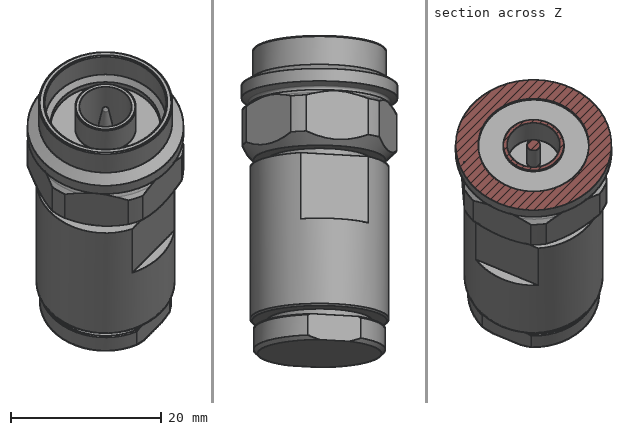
import cadquery as cq
import math

TOTAL_HEIGHT = 41.45
CLAMP_NUT_TOP = 3.5
BODY_BOTTOM = 4.48
WRENCH_FLAT_BOTTOM = 16.37
BODY_TOP = 25.4
HEX_BOTTOM = 26.45
HEX_CHAMFER_START = 33.0
HEX_CHAMFER_BREAK = 33.45
GROOVE_BOTTOM = 33.9
GROOVE_TOP = 34.45
FLANGE_BOTTOM = 34.85
FLANGE_TOP = 36.55
MOUTH_BASE = 37.47

CLAMP_NUT_RADIUS = 8.8
CLAMP_NUT_FLAT = 8.0
CLAMP_NUT_BOTTOM_CHAMFER = 0.55
CLAMP_NUT_TOP_CHAMFER = 0.15
LOWER_NECK_RADIUS = 7.0

BODY_RADIUS = 9.25
BODY_FLAT = 8.0
BODY_CHAMFER = 0.25
UPPER_NECK_RADIUS = 6.9

FLANGE_RADIUS = 10.4
HEX_APOTHEM = 9.5
HEX_BOTTOM_CHAMFER = 1.6
HEX_CHAMFER_BREAK_RADIUS = 9.82
GROOVE_BOTTOM_RADIUS = 9.35
GROOVE_ROOT_RADIUS = 9.33
GROOVE_TOP_RADIUS = 9.55
MOUTH_RADIUS = 8.9
MOUTH_RIM_CHAMFER = 0.15

SOCKET_RADIUS = 8.1
SOCKET_RIM_CHAMFER = 0.15
SOCKET_WALL_BOTTOM = 37.65
SEAT_RADIUS = 7.35
SEAT_TOP = 36.97
SOCKET_FLOOR = 36.2

SLEEVE_TOP = 40.55
SLEEVE_RADIUS = 4.05
SLEEVE_BORE_RADIUS = 3.5
SLEEVE_CHAMFER = 0.12
SLEEVE_FLOOR = 32.35
PIN_RADIUS = 0.9
PIN_TIP_RADIUS = 0.37
PIN_TAPER_BOTTOM = 36.9
PIN_TIP = 40.2
PIN_TIP_FILLET = 0.25


def revolve_profile(points):
    """Turn an (radius, z) outline about the Z axis."""
    return cq.Workplane("XZ").polyline(points).close().revolve(360, (0, 0, 0), (0, 1, 0))


def cylinder(radius, bottom, top):
    return cq.Workplane("XY").workplane(offset=bottom).circle(radius).extrude(top - bottom)


def slab_across_flats(half_width, bottom, top):
    """Block bounded by two faces square to X, wide enough in Y to hold the whole part."""
    return (
        cq.Workplane("XY")
        .workplane(offset=bottom)
        .rect(2 * half_width, 4 * FLANGE_RADIUS)
        .extrude(top - bottom)
    )


def make_clamp_nut():
    nut = cylinder(CLAMP_NUT_RADIUS, 0, CLAMP_NUT_TOP)
    nut = nut.faces("<Z").chamfer(CLAMP_NUT_BOTTOM_CHAMFER)
    nut = nut.faces(">Z").chamfer(CLAMP_NUT_TOP_CHAMFER)
    return nut.intersect(slab_across_flats(CLAMP_NUT_FLAT, 0, CLAMP_NUT_TOP))


def make_body():
    lower = cylinder(BODY_RADIUS, BODY_BOTTOM, WRENCH_FLAT_BOTTOM)
    lower = lower.faces("<Z").chamfer(BODY_CHAMFER)
    upper = cylinder(BODY_RADIUS, WRENCH_FLAT_BOTTOM, BODY_TOP)
    upper = upper.intersect(slab_across_flats(BODY_FLAT, WRENCH_FLAT_BOTTOM, BODY_TOP))
    return lower.union(upper)


def make_hexagon():
    """Hexagon with flats square to X, turned down to a chamfered round at its corners."""
    corner_diameter = 2 * HEX_APOTHEM / math.cos(math.pi / 6)
    prism = (
        cq.Workplane("XY")
        .workplane(offset=HEX_BOTTOM)
        .transformed(rotate=(0, 0, 30))
        .polygon(6, corner_diameter)
        .extrude(GROOVE_BOTTOM - HEX_BOTTOM)
    )
    turned = revolve_profile([
        (0, HEX_BOTTOM),
        (FLANGE_RADIUS - HEX_BOTTOM_CHAMFER, HEX_BOTTOM),
        (FLANGE_RADIUS, HEX_BOTTOM + HEX_BOTTOM_CHAMFER),
        (FLANGE_RADIUS, HEX_CHAMFER_START),
        (HEX_CHAMFER_BREAK_RADIUS, HEX_CHAMFER_BREAK),
        (GROOVE_BOTTOM_RADIUS, GROOVE_BOTTOM),
        (0, GROOVE_BOTTOM),
    ])
    return prism.intersect(turned)


def make_flange_and_mouth():
    """Rounded groove above the hexagon, then the flange and the cylindrical mouth."""
    groove_middle = (GROOVE_BOTTOM + GROOVE_TOP) / 2
    return (
        cq.Workplane("XZ")
        .moveTo(0, GROOVE_BOTTOM)
        .lineTo(GROOVE_BOTTOM_RADIUS, GROOVE_BOTTOM)
        .threePointArc((GROOVE_ROOT_RADIUS, groove_middle), (GROOVE_TOP_RADIUS, GROOVE_TOP))
        .lineTo(FLANGE_RADIUS, FLANGE_BOTTOM)
        .lineTo(FLANGE_RADIUS, FLANGE_TOP)
        .lineTo(MOUTH_RADIUS, MOUTH_BASE)
        .lineTo(MOUTH_RADIUS, TOTAL_HEIGHT - MOUTH_RIM_CHAMFER)
        .lineTo(MOUTH_RADIUS - MOUTH_RIM_CHAMFER, TOTAL_HEIGHT)
        .lineTo(0, TOTAL_HEIGHT)
        .close()
        .revolve(360, (0, 0, 0), (0, 1, 0))
    )


def make_socket():
    """Stepped space inside the mouth, down to its flat floor."""
    return revolve_profile([
        (0, SOCKET_FLOOR),
        (SEAT_RADIUS, SOCKET_FLOOR),
        (SEAT_RADIUS, SEAT_TOP),
        (SOCKET_RADIUS, SOCKET_WALL_BOTTOM),
        (SOCKET_RADIUS, TOTAL_HEIGHT - SOCKET_RIM_CHAMFER),
        (SOCKET_RADIUS + SOCKET_RIM_CHAMFER, TOTAL_HEIGHT),
        (0, TOTAL_HEIGHT),
    ])


def make_sleeve():
    sleeve = cylinder(SLEEVE_RADIUS, SLEEVE_FLOOR, SLEEVE_TOP)
    return sleeve.faces(">Z").chamfer(SLEEVE_CHAMFER)


def make_pin():
    pin = revolve_profile([
        (0, SLEEVE_FLOOR),
        (PIN_RADIUS, SLEEVE_FLOOR),
        (PIN_RADIUS, PIN_TAPER_BOTTOM),
        (PIN_TIP_RADIUS, PIN_TIP),
        (0, PIN_TIP),
    ])
    return pin.faces(">Z").edges().fillet(PIN_TIP_FILLET)


result = (
    make_clamp_nut()
    .union(cylinder(LOWER_NECK_RADIUS, CLAMP_NUT_TOP, BODY_BOTTOM))
    .union(make_body())
    .union(cylinder(UPPER_NECK_RADIUS, BODY_TOP, HEX_BOTTOM))
    .union(make_hexagon())
    .union(make_flange_and_mouth())
)

result = (
    result.cut(make_socket())
    .union(make_sleeve())
    .cut(cylinder(SLEEVE_BORE_RADIUS, SLEEVE_FLOOR, SLEEVE_TOP))
    .union(make_pin())
)